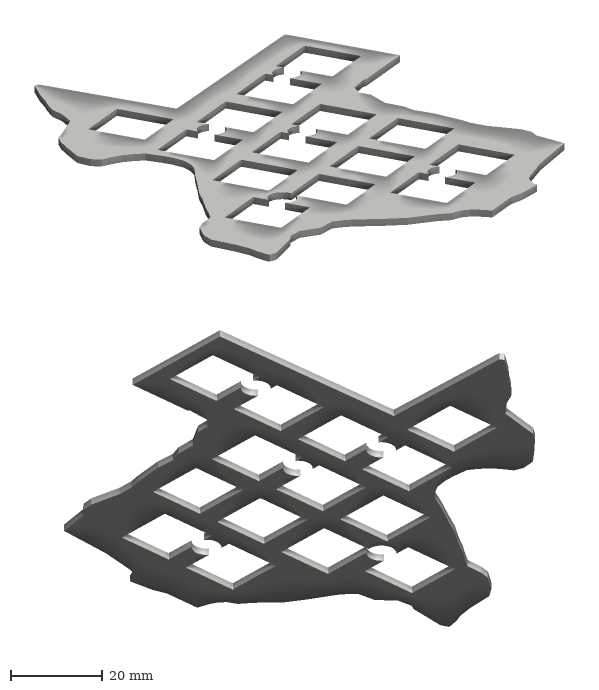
import cadquery as cq

length = 125.6
width = 121.4
thickness = 1.6
west = -length / 2
east = length / 2
north = width / 2
south = -width / 2

key_size = 14.0
key_pitch = 19.1
key_corner_radius = 0.3
first_column_x = -14.1
column_x = [first_column_x + i * key_pitch for i in range(4)]
west_key_x = -33.3
south_key_x = 17.7

panhandle_column_y = -7.8
middle_column_y = -18.8
east_column_y = -8.0
west_key_y = -3.5
south_key_y = middle_column_y - key_pitch

round_radius = 3.3

panhandle = [(-28.0, north), (0.3, north), (0.3, 44.3), (-0.1, 44.0), (0.3, 38.5)]
red_river = [
    (2.4, 36.5), (5.5, 36.4), (10.4, 33.4), (15.3, 33.3), (18.1, 32.3), (22.7, 32.5), (29.9, 31.6),
    (32.9, 31.0), (36.8, 31.0), (44.3, 32.5), (47.2, 32.1), (49.0, 30.6), (56.6, 29.3),
]
east_border = [
    (57.5, 16.0), (59.0, 7.8), (59.4, 6.5), (61.5, 4.4), (east, 3.9), (62.2, -2.1),
    (61.2, -5.5), (61.2, -14.6),
]
gulf_coast = [
    (58.3, -15.5), (56.5, -16.3), (55.0, -17.7), (54.0, -20.0), (51.2, -22.2), (46.6, -27.0),
    (42.5, -29.8), (36.3, -33.4), (34.4, -34.9), (32.9, -36.5), (32.4, -41.0), (29.1, -44.8),
    (28.8, -48.5), (29.5, -50.0), (30.6, -58.9), (29.9, south),
]
southern_tip = [
    (29.1, south), (26.4, -60.0), (24.5, -59.3), (20.7, -58.6), (16.6, -58.4), (14.2, -58.3),
    (11.5, -56.5), (9.7, -54.1), (8.5, -52.6), (8.0, -50.4), (7.9, -46.1),
]
rio_grande = [
    (6.3, -43.8), (4.3, -41.3), (1.6, -37.4), (-1.0, -34.0), (-3.8, -29.4), (-6.4, -25.2),
    (-8.7, -21.2), (-10.5, -19.3), (-12.8, -18.1), (-15.8, -17.6), (-18.2, -17.6), (-22.4, -18.0),
    (-24.6, -19.6), (-26.5, -21.3), (-27.8, -23.1), (-29.3, -25.6), (-31.5, -26.5),
    (-34.9, -26.1), (-38.9, -22.9), (-42.0, -20.2), (-43.7, -18.0), (-44.3, -14.8), (-45.5, -10.0),
    (-46.0, -7.8), (-49.5, -4.9), (-52.6, -3.4), (-54.9, -1.1), (-56.8, 1.1), (-59.0, 3.4),
    (-60.7, 5.4), (west, 8.0), (-62.3, 9.0),
]
panhandle_corner = [(-28.6, 9.5)]


def border_plate():
    northern_border = panhandle + red_river + east_border
    southern_border = gulf_coast + southern_tip + rio_grande
    border = northern_border + southern_border + panhandle_corner
    return cq.Workplane("XY").polyline(border).close().extrude(thickness)


def key_column(x, lowest_y, pitch_steps):
    """Centres of the keys in one column, at the given numbers of pitches above the lowest key."""
    return [(x, lowest_y + step * key_pitch) for step in pitch_steps]


def key_cutters(centres):
    return (
        cq.Workplane("XY")
        .pushPoints(centres)
        .rect(key_size, key_size)
        .extrude(thickness)
        .edges("|Z")
        .fillet(key_corner_radius)
    )


def round_cutters(centres):
    return cq.Workplane("XY").pushPoints(centres).circle(round_radius).extrude(thickness)


key_centres = (
    key_column(column_x[0], panhandle_column_y, range(4))
    + key_column(column_x[1], middle_column_y, range(3))
    + key_column(column_x[2], middle_column_y, range(3))
    + key_column(column_x[3], east_column_y, range(2))
    + [(west_key_x, west_key_y), (south_key_x, south_key_y)]
)

round_centres = [
    (-17.0, panhandle_column_y + 2.5 * key_pitch),
    (-16.1, panhandle_column_y + 0.5 * key_pitch),
    (2.1, middle_column_y + 1.5 * key_pitch),
    (40.7, east_column_y + 0.5 * key_pitch),
    (16.6, middle_column_y - 0.5 * key_pitch),
]

result = border_plate().cut(key_cutters(key_centres)).cut(round_cutters(round_centres))